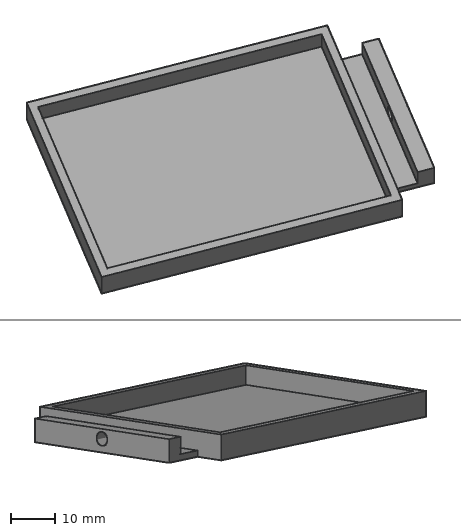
import cadquery as cq

TRAY_WIDTH = 54.0
TRAY_LENGTH = 72.0
TRAY_HEIGHT = 6.0
RIM_THICKNESS = 2.05
TRAY_FLOOR = 1.5

TOTAL_LENGTH = 82
BRACKET_WIDTH = 40.0
BRACKET_DEPTH = TOTAL_LENGTH - TRAY_LENGTH
BRACKET_HEIGHT = 5.5
PLATE_THICKNESS = 1.5
UPRIGHT_DEPTH = 4.0
HOLE_DIAMETER = 3.2
HOLE_HEIGHT = 3.2


def block(width, depth, height, front_y, bottom_z):
    """Box centred on X, starting at front_y and standing on bottom_z."""
    return (
        cq.Workplane("XY")
        .box(width, depth, height, centered=(True, False, False))
        .translate((0, front_y, bottom_z))
    )


def make_tray():
    outside = block(TRAY_WIDTH, TRAY_LENGTH, TRAY_HEIGHT, 0, 0)
    pocket = block(
        TRAY_WIDTH - 2 * RIM_THICKNESS,
        TRAY_LENGTH - 2 * RIM_THICKNESS,
        TRAY_HEIGHT - TRAY_FLOOR,
        RIM_THICKNESS,
        TRAY_FLOOR,
    )
    return outside.cut(pocket)


def make_bracket():
    upright_front = TOTAL_LENGTH - UPRIGHT_DEPTH
    plate = block(BRACKET_WIDTH, BRACKET_DEPTH, PLATE_THICKNESS, TRAY_LENGTH, 0)
    upright = block(BRACKET_WIDTH, UPRIGHT_DEPTH, BRACKET_HEIGHT, upright_front, 0)

    hole = (
        cq.Workplane("XZ", origin=(0, TOTAL_LENGTH, HOLE_HEIGHT))
        .circle(HOLE_DIAMETER / 2)
        .extrude(UPRIGHT_DEPTH)
    )
    return plate.union(upright).cut(hole)


tray = make_tray()
bracket = make_bracket()

result = cq.Compound.makeCompound([tray.val(), bracket.val()])